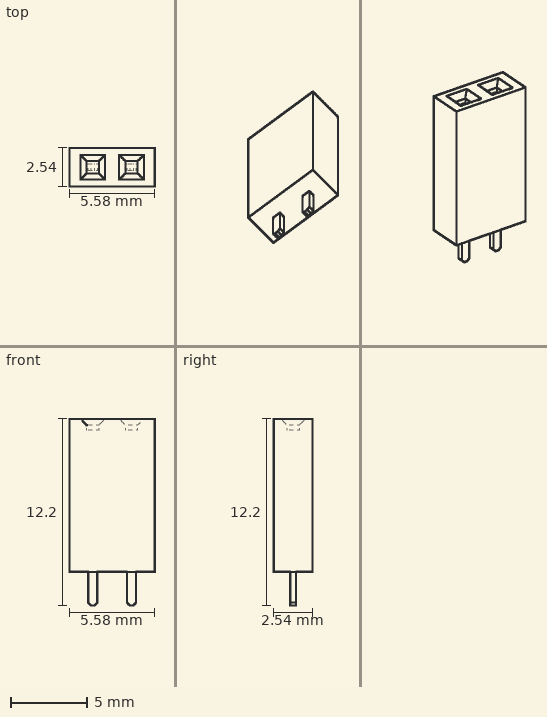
import cadquery as cq

total_height = 12.2
body_height = 10.0
body_length = 5.58
pitch = 2.54
body_depth = pitch

pin_width = 0.6
pin_thickness = 0.4
tip_chamfer = 0.18
pin_length = total_height - body_height

mouth_size = 1.61
hole_size = 0.8
lead_in_depth = 0.4
hole_depth = 0.33

contact_positions = [(-pitch / 2, 0), (pitch / 2, 0)]


def make_body():
    """Housing block standing on the XY plane."""
    return cq.Workplane("XY").box(body_length, body_depth, body_height, centered=(True, True, False))


def make_pin():
    """Flat pin below the housing, with its tip chamfered across the width."""
    pin = cq.Workplane("XY").box(pin_width, pin_thickness, pin_length, centered=(True, True, False))
    return pin.translate((0, 0, -pin_length)).faces("<Z").edges("|Y").chamfer(tip_chamfer)


def make_socket():
    """Cutting shape of one socket, reaching down from the top of the housing."""
    lead_in = (
        cq.Workplane("XY", origin=(0, 0, body_height))
        .rect(mouth_size, mouth_size)
        .workplane(offset=-lead_in_depth)
        .rect(hole_size, hole_size)
        .loft(ruled=True)
    )
    hole = (
        cq.Workplane("XY", origin=(0, 0, body_height - lead_in_depth))
        .rect(hole_size, hole_size)
        .extrude(-hole_depth)
    )
    return lead_in.union(hole)


result = make_body()
for x, y in contact_positions:
    result = result.union(make_pin().translate((x, y, 0)))
    result = result.cut(make_socket().translate((x, y, 0)))